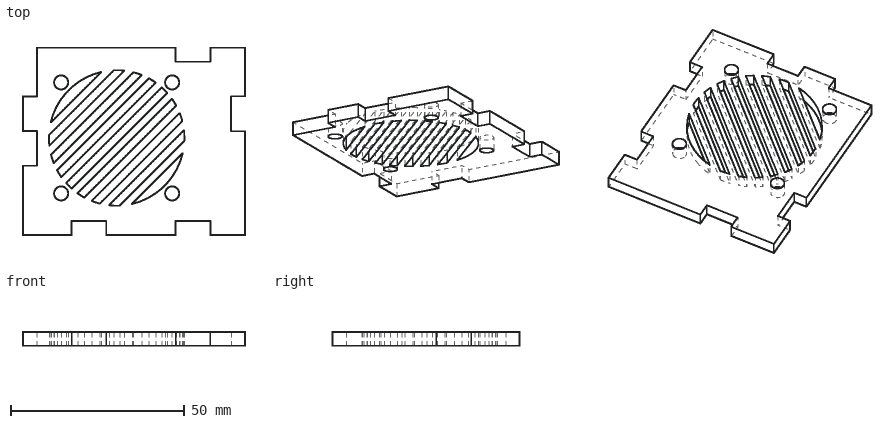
import cadquery as cq

LENGTH = 64.0
WIDTH = 54.0
THICKNESS = 4.0

JOINT_DEPTH = THICKNESS
JOINT_WIDTH = 10.0
BOTTOM_NOTCH_STARTS = (14.0, 44.0)
TOP_NOTCH_START = 44.0
LEFT_NOTCH_START = 20.0
LEFT_TAB_START = LEFT_NOTCH_START + JOINT_WIDTH
LEFT_TAB_END = LEFT_TAB_START + JOINT_WIDTH
RIGHT_NOTCH_START = LEFT_TAB_START

FAN_X = 27.0
FAN_Y = 28.0
GRILLE_DIAMETER = 39.0
BAR_COUNT = 8
BAR_PITCH = 4.42
BAR_WIDTH = BAR_PITCH / 2
BAR_ANGLE = 45.0
MOUNT_HOLE_SPACING = 32.0
MOUNT_HOLE_DIAMETER = 4.0


def corner_block(x, y, size_x, size_y):
    """Full-thickness block whose lower left corner is at (x, y)."""
    return cq.Workplane("XY").box(size_x, size_y, THICKNESS, centered=False).translate((x, y, 0))


def cut_edge_joints(plate):
    """Cut the finger-joint notches along all four edges."""
    for start in BOTTOM_NOTCH_STARTS:
        plate = plate.cut(corner_block(start, 0, JOINT_WIDTH, JOINT_DEPTH))
    plate = plate.cut(corner_block(TOP_NOTCH_START, WIDTH - JOINT_DEPTH, JOINT_WIDTH, JOINT_DEPTH))
    plate = plate.cut(corner_block(LENGTH - JOINT_DEPTH, RIGHT_NOTCH_START, JOINT_DEPTH, JOINT_WIDTH))
    plate = plate.cut(corner_block(0, LEFT_NOTCH_START, JOINT_DEPTH, JOINT_WIDTH))
    return plate.cut(corner_block(0, LEFT_TAB_END, JOINT_DEPTH, WIDTH - LEFT_TAB_END))


def grille_openings():
    """Round opening with the diagonal bars left out, giving the through slots."""
    openings = cq.Workplane("XY").circle(GRILLE_DIAMETER / 2).extrude(THICKNESS)
    bar_length = 2 * GRILLE_DIAMETER
    first_offset = -BAR_PITCH * (BAR_COUNT - 1) / 2
    bar_centres = [(0, first_offset + i * BAR_PITCH) for i in range(BAR_COUNT)]
    bars = cq.Workplane("XY").pushPoints(bar_centres).rect(bar_length, BAR_WIDTH).extrude(THICKNESS)
    openings = openings.cut(bars).rotate((0, 0, 0), (0, 0, 1), BAR_ANGLE)
    return openings.translate((FAN_X, FAN_Y, 0))


def mounting_holes():
    """Four through holes on a square around the grille."""
    return (
        cq.Workplane("XY")
        .center(FAN_X, FAN_Y)
        .rect(MOUNT_HOLE_SPACING, MOUNT_HOLE_SPACING, forConstruction=True)
        .vertices()
        .circle(MOUNT_HOLE_DIAMETER / 2)
        .extrude(THICKNESS)
    )


plate = cut_edge_joints(corner_block(0, 0, LENGTH, WIDTH))
result = plate.cut(grille_openings()).cut(mounting_holes())